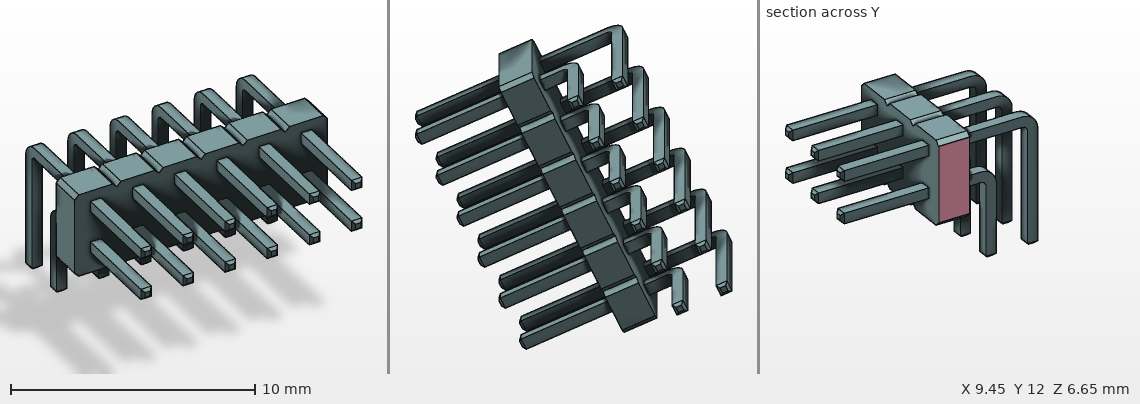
import cadquery as cq

pitch = 2.0
columns = 6
rows = 2

pin_width = 0.5
inner_bend_radius = 0.25
outer_bend_radius = inner_bend_radius + pin_width
tip_chamfer = pin_width / 4
pin_reach = 9.45
pin_rise = 6.15

body_thickness = 1.5
body_height = rows * pitch
body_chamfer = 0.2
body_front_gap = 3.75
body_above_pins = 0.5

leg_face_x = -pin_width / 2
pin_end_x = leg_face_x + pin_reach
body_start_x = leg_face_x + body_front_gap
body_top_z = pin_rise + body_above_pins
body_centre_z = body_top_z - body_height / 2


def make_cell(y):
    """Body segment around one column, chamfered along its four X edges."""
    return (
        cq.Workplane("XY")
        .box(body_thickness, pitch, body_height)
        .edges("|X")
        .chamfer(body_chamfer)
        .translate((body_start_x + body_thickness / 2, y, body_centre_z))
    )


def make_pin(row, y):
    """Bent square pin; each row is one pitch further in and lower."""
    face_x = leg_face_x + row * pitch
    top_z = pin_rise - row * pitch

    pin = (
        cq.Workplane("XZ")
        .moveTo(face_x, 0)
        .lineTo(face_x, top_z - outer_bend_radius)
        .radiusArc((face_x + outer_bend_radius, top_z), outer_bend_radius)
        .lineTo(pin_end_x, top_z)
        .lineTo(pin_end_x, top_z - pin_width)
        .lineTo(face_x + outer_bend_radius, top_z - pin_width)
        .radiusArc((face_x + pin_width, top_z - outer_bend_radius), -inner_bend_radius)
        .lineTo(face_x + pin_width, 0)
        .close()
        .extrude(pin_width / 2, both=True)
    )
    pin = pin.faces("<Z").chamfer(tip_chamfer)
    pin = pin.faces(">X").chamfer(tip_chamfer)
    return pin.translate((0, y, 0))


column_positions = [(column - (columns - 1) / 2) * pitch for column in range(columns)]

result = make_cell(column_positions[0])
for y in column_positions[1:]:
    result = result.union(make_cell(y))
result = result.clean()

for y in column_positions:
    for row in range(rows):
        result = result.union(make_pin(row, y))